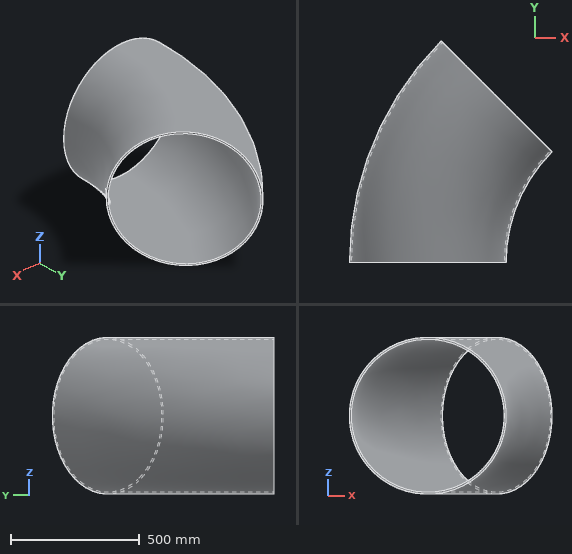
import cadquery as cq

outer_diameter = 610.0
wall_thickness = 8.0
bend_radius = 914.0
bend_angle = 45.0

outer_radius = outer_diameter / 2
inner_radius = outer_radius - wall_thickness


def make_elbow():
    """Revolve the pipe's ring section about a vertical axis on the +X side.

    The inlet face is centred on the origin and lies in the XZ plane;
    the pipe leaves it along +Y and curves toward +X.
    """
    ring = cq.Workplane("XZ").circle(outer_radius).circle(inner_radius)
    axis_start = (bend_radius, 0)
    axis_end = (bend_radius, -1)
    return ring.revolve(bend_angle, axis_start, axis_end)


result = make_elbow()